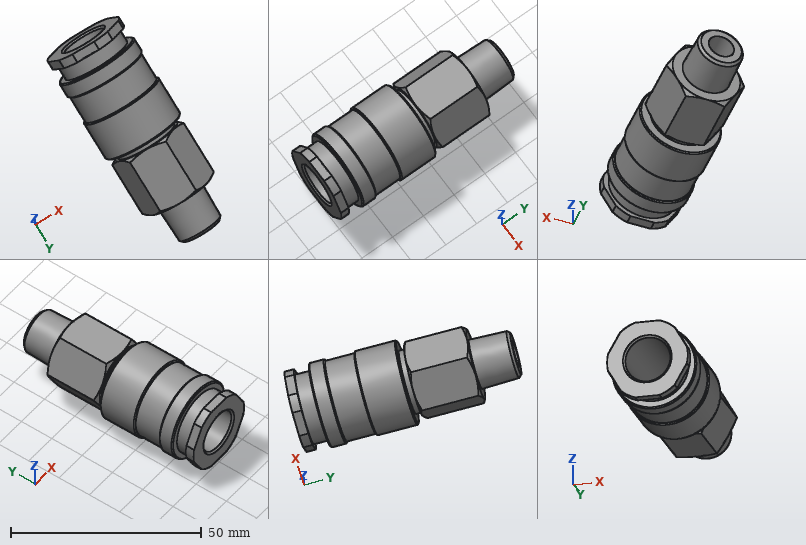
import cadquery as cq
import math

total_length = 60.0
overlap = 0.3

flange_length = 2.5
flange_diameter = 22.0
flange_across_flats = 21.0
flange_neck_diameter = 19.0

ring_start = 6.6
ring_end = 11.1
barrel_start = 19.0
barrel_end = 30.55
sleeve_diameter = 23.0
waist_diameter = 22.0
ring_chamfer = 0.35
barrel_chamfer = 0.35

hex_start = 32.1
hex_end = 49.1
hex_across_flats = 19.0
hex_chamfer_angle = 30.0
hex_neck_diameter = 17.3

gauge_plane = 54.0
gauge_diameter = 13.15
thread_taper = 1 / 16
thread_tip_diameter = 11.4
thread_tip_chamfer = 0.8

passage_diameter = 7.15
socket_diameter = 12.25
socket_mouth_diameter = 13.3
socket_mouth_chamfer = 0.55
socket_depth = barrel_end


def revolve_profile(points):
    """Revolve a closed (radius, Y) outline about the Y axis."""
    return cq.Workplane("XY").polyline(points).close().revolve(360, (0, 0, 0), (0, 1, 0))


def cylinder(diameter, start, end):
    """Cylinder about the Y axis from start to end."""
    radius = diameter / 2
    return revolve_profile([(0, start), (radius, start), (radius, end), (0, end)])


def hexagonal_prism(across_flats, start, end):
    """Hexagonal prism along Y with two flats facing +Z and -Z."""
    across_corners = across_flats / math.cos(math.pi / 6)
    return cq.Workplane("XZ", origin=(0, start, 0)).polygon(6, across_corners).extrude(start - end)


def flange():
    """Round flange cut by six flats."""
    disc = cylinder(flange_diameter, 0, flange_length)
    return disc.intersect(hexagonal_prism(flange_across_flats, 0, flange_length))


def sleeve():
    """Ring and barrel with chamfered rims, joined by a narrower waist."""
    ring = cylinder(sleeve_diameter, ring_start, ring_end).edges().chamfer(ring_chamfer)
    barrel = cylinder(sleeve_diameter, barrel_start, barrel_end).edges().chamfer(barrel_chamfer)
    waist = cylinder(waist_diameter, ring_end - ring_chamfer, barrel_start + barrel_chamfer)
    return ring.union(waist).union(barrel)


def hexagonal_body():
    """Hexagon with its corners turned off conically at both ends."""
    flat_radius = hex_across_flats / 2
    corner_radius = flat_radius / math.cos(math.pi / 6)
    chamfer_length = (corner_radius - flat_radius) * math.tan(math.radians(hex_chamfer_angle))
    turned = revolve_profile([
        (0, hex_start),
        (flat_radius, hex_start),
        (corner_radius, hex_start + chamfer_length),
        (corner_radius, hex_end - chamfer_length),
        (flat_radius, hex_end),
        (0, hex_end),
    ])
    return hexagonal_prism(hex_across_flats, hex_start, hex_end).intersect(turned)


def thread_radius(y):
    """Radius of the thread cone at a position along Y."""
    return (gauge_diameter - (y - gauge_plane) * thread_taper) / 2


def thread():
    """Tapered cone with a chamfered tip."""
    root = hex_end - overlap
    chamfer_start = total_length - thread_tip_chamfer
    return revolve_profile([
        (0, root),
        (thread_radius(root), root),
        (thread_radius(chamfer_start), chamfer_start),
        (thread_tip_diameter / 2, total_length),
        (0, total_length),
    ])


def bore():
    """Socket with a chamfered mouth, continued by a narrower through passage."""
    socket_radius = socket_diameter / 2
    socket = revolve_profile([
        (0, 0),
        (socket_mouth_diameter / 2, 0),
        (socket_radius, socket_mouth_chamfer),
        (socket_radius, socket_depth),
        (0, socket_depth),
    ])
    return socket.union(cylinder(passage_diameter, 0, total_length))


flange_neck = cylinder(flange_neck_diameter, flange_length - overlap, ring_start + overlap)
hex_neck = cylinder(hex_neck_diameter, barrel_end - overlap, hex_start + overlap)

body = flange()
for section in (flange_neck, sleeve(), hex_neck, hexagonal_body(), thread()):
    body = body.union(section)

result = body.cut(bore())